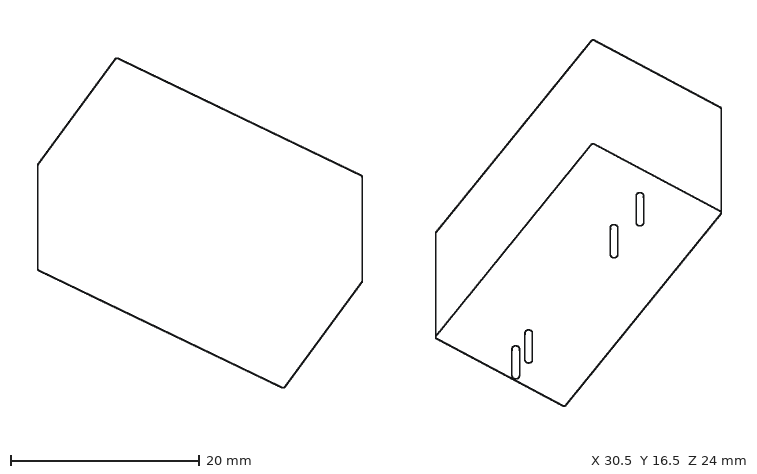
import cadquery as cq

body_length = 30.5
body_width = 16.5
body_height = 19.0
edge_radius = 0.25

pin_diameter = 0.8
pin_length = 5.0
pin_tip_radius = 0.2 * pin_diameter
first_pin_inset = 3.0
pin_gaps = [5.0, 16.5, 2.5]
pin_row_y = 0.25


def make_body():
    """Block with its vertical and top edges rounded and its base edges sharp."""
    block = cq.Workplane("XY").box(body_length, body_width, body_height, centered=(True, True, False))
    return block.edges("|Z or >Z").fillet(edge_radius)


def make_pin(x):
    """Round pin hanging from the base, with a rounded tip."""
    pin = cq.Workplane("XY").center(x, pin_row_y).circle(pin_diameter / 2).extrude(-pin_length)
    return pin.faces("<Z").edges().fillet(pin_tip_radius)


result = make_body()
first_pin_x = first_pin_inset - body_length / 2
for pin_index in range(len(pin_gaps) + 1):
    result = result.union(make_pin(first_pin_x + sum(pin_gaps[:pin_index])))